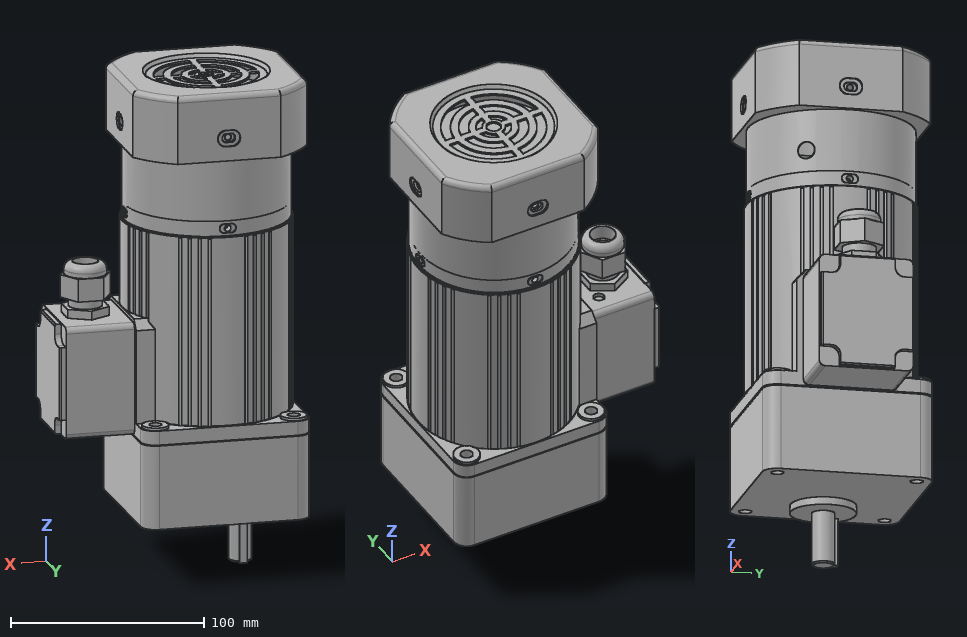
import cadquery as cq
import math


overall_height = 264.0
frame_size = 90.0
frame_corner_radius = 8.0
bolt_spacing = frame_size - 2 * frame_corner_radius
bolt_hole_diameter = 6.5

shaft_length = 32.0
shaft_diameter = 12.0
shaft_offset = -18.0
shaft_chamfer = 0.8
key_width = 4.0
key_length = 25.0
key_projection = 1.5
boss_diameter = 34.5
boss_height = 4.0
gearbox_height = 45.0

flange_height = 8.0
pad_diameter = 14.0
pad_height = 1.4
body_length = 102.0
rim_height = 1.0
groove_diameter = 1.6
groove_groups = 8
grooves_per_group = 4
groove_pitch_angle = 6.55
joint_chamfer = 0.5
spigot_height = 8.0

saddle_width = 57.0
saddle_height = 55.0
saddle_chamfer = 5.0
saddle_start = 20.0

cowl_diameter = 88.0
cowl_wall = 0.5
cowl_screw_height = 4.0
cowl_slot_length = 8.7
cowl_slot_width = 4.8
screw_hole_diameter = 3.4
screw_hole_depth = 6.0
cable_hole_diameter = 9.0
cable_hole_height = 19.5
cable_hole_angle = -30.0

cap_size = 93.0
cap_corner_diameter = 108.0
cap_height = 36.0
cap_fillet = 3.0
cap_lap = 23.5
cap_screw_height = 12.0
cap_recess_length = 12.0
cap_recess_width = 8.7
cap_recess_depth = 1.0
cap_slot_length = 7.0
cap_slot_width = 4.8
grille_outer_radius = 33.0
grille_floor_radius = 31.5
grille_depth = 2.0
vent_depth = 1.0
vent_cavity_diameter = 70.0
vent_rings = [(6.0, 9.2), (13.0, 18.2), (22.4, 27.4)]
vent_bar_width = 4.0
vent_center_diameter = 7.8

box_length = 36.5
box_width = 50.0
box_height = 60.0
box_below_saddle = 7.0
box_fillet = 3.0
box_port_diameter = 6.0
box_port_depth = 2.0
box_port_x = 55.0
box_port_y = -13.3
lid_thickness = 3.5
lid_margin = 0.5
lid_edge_chamfer = 0.8
lid_notch_size = 10.0
lid_notch_radius = 5.0

gland_x = 64.8
gland_base_flats = 22.3
gland_base_height = 4.7
gland_neck_diameter = 17.7
gland_neck_height = 5.0
gland_nut_flats = 23.3
gland_nut_height = 12.2
gland_dome_diameter = 22.3
gland_dome_height = 6.5
gland_dome_fillet = 4.0
gland_mouth_diameter = 13.5
gland_mouth_depth = 8.0
gland_bore_diameter = 10.5
gland_bore_depth = 22.0

gearbox_bottom = shaft_length
flange_bottom = gearbox_bottom + gearbox_height
flange_top = flange_bottom + flange_height
body_top = flange_top + body_length
cap_top = overall_height
cap_bottom = cap_top - cap_height
cap_screw_z = cap_bottom + cap_screw_height
cowl_screw_z = body_top + cowl_screw_height
cowl_top = cap_bottom + cap_lap
box_bottom = flange_top - box_below_saddle
box_top = box_bottom + box_height

body_radius = frame_size / 2
cowl_inner_diameter = cowl_diameter - 2 * cowl_wall
box_start = body_radius
box_end = box_start + box_length


def cylinder(diameter, height, bottom, x=0.0, y=0.0):
    return cq.Workplane("XY", origin=(x, y, bottom)).circle(diameter / 2).extrude(height)


def hexagon(flats, height, bottom, x, turn):
    prism = cq.Workplane("XY").polygon(6, flats / math.cos(math.pi / 6)).extrude(height)
    return prism.rotate((0, 0, 0), (0, 0, 1), turn).translate((x, 0, bottom))


def frame_block(bottom, height):
    """Square block of the motor frame with rounded corners."""
    block = cq.Workplane("XY", origin=(0, 0, bottom)).rect(frame_size, frame_size).extrude(height)
    return block.edges("|Z").fillet(frame_corner_radius)


def bolt_holes(solid):
    """Cut the four corner bolt holes right through a frame block."""
    holes = (
        cq.Workplane("XY", origin=(0, 0, gearbox_bottom))
        .rect(bolt_spacing, bolt_spacing, forConstruction=True)
        .vertices()
        .circle(bolt_hole_diameter / 2)
        .extrude(gearbox_height + flange_height + pad_height)
    )
    return solid.cut(holes)


def radial_slots(length, width, z, inner, outer):
    """Four slots lying across the +X, +Y, -X and -Y sides, cut from radius inner to outer."""
    slots = cq.Workplane("XY")
    for turn in (0, 90, 180, 270):
        slot = cq.Workplane("YZ", origin=(inner, 0, z)).slot2D(length, width).extrude(outer - inner)
        slots = slots.add(slot.rotate((0, 0, 0), (0, 0, 1), turn))
    return slots.combine()


def radial_holes(diameter, z, inner, outer):
    """Four round holes on the X and Y axes, cut from radius inner to outer."""
    holes = cq.Workplane("XY")
    for turn in (0, 90, 180, 270):
        hole = cq.Workplane("YZ", origin=(inner, 0, z)).circle(diameter / 2).extrude(outer - inner)
        holes = holes.add(hole.rotate((0, 0, 0), (0, 0, 1), turn))
    return holes.combine()


def make_gearbox():
    shaft = cylinder(shaft_diameter, shaft_length, 0, shaft_offset).faces("<Z").chamfer(shaft_chamfer)
    boss = cylinder(boss_diameter, boss_height, gearbox_bottom - boss_height, shaft_offset)
    key_reach = shaft_diameter / 2 + key_projection
    key = cq.Workplane("XY").box(key_width, key_reach, key_length, centered=(True, False, False))
    key = key.translate((shaft_offset, 0, 0))
    housing = bolt_holes(frame_block(gearbox_bottom, gearbox_height))
    return housing.union(boss).union(shaft).union(key)


def make_grooves():
    grooves = cq.Workplane("XY")
    groove = (
        cq.Workplane("XY", origin=(body_radius, 0, flange_top))
        .circle(groove_diameter / 2)
        .extrude(body_length - rim_height)
    )
    for group in range(groove_groups):
        for i in range(grooves_per_group):
            offset = (i - (grooves_per_group - 1) / 2) * groove_pitch_angle
            angle = (group + 0.5) * 360 / groove_groups + offset
            grooves = grooves.add(groove.rotate((0, 0, 0), (0, 0, 1), angle))
    return grooves.combine()


def make_saddle():
    saddle = (
        cq.Workplane("XY", origin=(saddle_start, 0, flange_top))
        .box(box_start - saddle_start, saddle_width, saddle_height, centered=(False, True, False))
    )
    return saddle.edges("|X and >Z").chamfer(saddle_chamfer)


def make_motor():
    pads = (
        cq.Workplane("XY", origin=(0, 0, flange_top))
        .rect(bolt_spacing, bolt_spacing, forConstruction=True)
        .vertices()
        .circle(pad_diameter / 2)
        .extrude(pad_height)
    )
    flange = frame_block(flange_bottom, flange_height).faces("<Z").edges().chamfer(joint_chamfer)
    flange = bolt_holes(flange.union(pads))
    body = cylinder(frame_size, body_length, flange_top).faces("|Z").edges().chamfer(joint_chamfer)
    body = body.cut(make_grooves())
    spigot = cylinder(cowl_inner_diameter, spigot_height, body_top)
    spigot_radius = cowl_inner_diameter / 2
    tapped = radial_holes(screw_hole_diameter, cowl_screw_z, spigot_radius - screw_hole_depth, spigot_radius)
    return flange.union(body).union(spigot.cut(tapped)).union(make_saddle())


def make_cowl():
    height = cowl_top - body_top
    can = cylinder(cowl_diameter, height, body_top)
    can = can.cut(cylinder(cowl_inner_diameter, height - cowl_wall, body_top))
    slots = radial_slots(cowl_slot_length, cowl_slot_width, cowl_screw_z, body_radius / 2, body_radius)
    cap_holes = radial_holes(screw_hole_diameter, cap_screw_z, body_radius / 2, body_radius)
    cable_hole = (
        cq.Workplane("YZ", origin=(0, 0, body_top + cable_hole_height))
        .circle(cable_hole_diameter / 2)
        .extrude(body_radius)
        .rotate((0, 0, 0), (0, 0, 1), cable_hole_angle)
    )
    return can.cut(slots).cut(cap_holes).cut(cable_hole)


def make_vents():
    vent_bottom = cap_top - grille_depth - vent_depth
    vents = cq.Workplane("XY")
    for inner, outer in vent_rings:
        ring = cylinder(2 * outer, vent_depth, vent_bottom).cut(cylinder(2 * inner, vent_depth, vent_bottom))
        vents = vents.union(ring)
    for length, width in ((cap_size, vent_bar_width), (vent_bar_width, cap_size)):
        bar = cq.Workplane("XY", origin=(0, 0, vent_bottom)).rect(length, width).extrude(vent_depth)
        vents = vents.cut(bar)
    return vents.union(cylinder(vent_center_diameter, vent_depth, vent_bottom))


def make_cap():
    cap = cq.Workplane("XY", origin=(0, 0, cap_bottom)).rect(cap_size, cap_size).extrude(cap_height)
    cap = cap.intersect(cylinder(cap_corner_diameter, cap_height, cap_bottom))
    cap = cap.faces(">Z").edges().fillet(cap_fillet)
    cowl_seat = cylinder(cowl_diameter, cap_lap, cap_bottom)
    vent_cavity = cylinder(vent_cavity_diameter, cap_top - grille_depth - vent_depth - cap_bottom, cap_bottom)
    recess = (
        cq.Workplane("XY", origin=(0, 0, cap_top - grille_depth))
        .circle(grille_floor_radius)
        .workplane(offset=grille_depth)
        .circle(grille_outer_radius)
        .loft(ruled=True)
    )
    half = cap_size / 2
    wide = radial_slots(cap_recess_length, cap_recess_width, cap_screw_z, half - cap_recess_depth, half)
    narrow = radial_slots(cap_slot_length, cap_slot_width, cap_screw_z, body_radius / 2, half)
    cap = cap.cut(cowl_seat).cut(vent_cavity).cut(recess).cut(make_vents())
    return cap.cut(wide).cut(narrow)


def make_box():
    box = (
        cq.Workplane("XY", origin=(box_start, 0, box_bottom))
        .box(box_length, box_width, box_height, centered=(False, True, False))
        .edges("|X").fillet(box_fillet)
    )
    port_bottom = box_top - box_port_depth
    return box.cut(cylinder(box_port_diameter, box_port_depth, port_bottom, box_port_x, box_port_y))


def make_lid():
    middle = (box_bottom + box_top) / 2
    width = box_width - 2 * lid_margin
    height = box_height - 2 * lid_margin
    lid = (
        cq.Workplane("YZ", origin=(box_end, 0, middle))
        .rect(width, height)
        .extrude(lid_thickness)
        .edges("|X").fillet(box_fillet)
        .faces(">X").edges().chamfer(lid_edge_chamfer)
    )
    corner_notches = (
        cq.Workplane("YZ", origin=(box_end, 0, middle))
        .rect(width, height, forConstruction=True)
        .vertices()
        .rect(2 * lid_notch_size, 2 * lid_notch_size)
        .extrude(lid_thickness)
        .edges("|X").fillet(lid_notch_radius)
    )
    return lid.cut(corner_notches)


def make_gland():
    neck_bottom = box_top + gland_base_height
    nut_bottom = neck_bottom + gland_neck_height
    dome_bottom = nut_bottom + gland_nut_height
    gland_top = dome_bottom + gland_dome_height
    base = hexagon(gland_base_flats, gland_base_height, box_top, gland_x, 30)
    neck = cylinder(gland_neck_diameter, gland_neck_height, neck_bottom, gland_x)
    nut = hexagon(gland_nut_flats, gland_nut_height, nut_bottom, gland_x, 0)
    dome = cylinder(gland_dome_diameter, gland_dome_height, dome_bottom, gland_x)
    dome = dome.faces(">Z").edges().fillet(gland_dome_fillet)
    bore = cylinder(gland_bore_diameter, gland_bore_depth, gland_top - gland_bore_depth, gland_x)
    mouth = cylinder(gland_mouth_diameter, gland_mouth_depth, gland_top - gland_mouth_depth, gland_x)
    return base.union(neck).union(nut).union(dome).cut(bore).cut(mouth)


gearbox = make_gearbox()
motor = make_motor()
cowl = make_cowl()
cap = make_cap()
terminal_box = make_box()
lid = make_lid()
gland = make_gland()

result = cq.Compound.makeCompound(
    [body.solids().val() for body in (gearbox, motor, cowl, cap, terminal_box, lid, gland)]
)